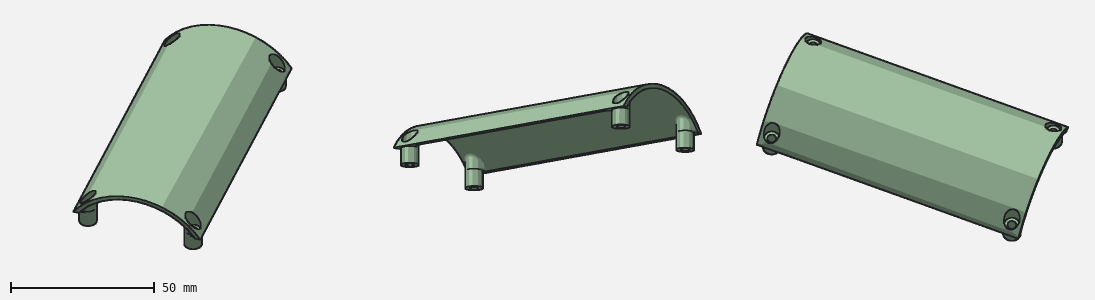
import cadquery as cq

length = 98.15
width = 46.8
rise = 12.5
thickness = 1.6

post_diameter = 6.3
post_drop = 6.0
post_x = 19.3
post_y = 45.05
joint_fillet = 1.5

screw_diameter = 3.0
head_diameter = 5.5
head_seat_z = 0.3

overrun = 9.8

outer_radius = ((width / 2) ** 2 + rise**2) / (2 * rise)
inner_radius = outer_radius - thickness
axis_z = rise - outer_radius


def arch_cylinder(radius):
    """Cylinder about the arch axis, running from mid-length past the +Y end."""
    cylinder = cq.Workplane("XZ").center(0, axis_z).circle(radius)
    return cylinder.extrude(-(length / 2 + overrun))


def corner_cylinder(diameter, bottom_z):
    """Vertical cylinder on the +X +Y post axis, up to the crown height."""
    cylinder = cq.Workplane("XY", origin=(post_x, post_y, bottom_z)).circle(diameter / 2)
    return cylinder.extrude(rise - bottom_z)


def quarter_block(end_y, bottom_z):
    """Block over the +X +Y quarter, clear of the arch in X and Z."""
    block = cq.Workplane("XY", origin=(0, 0, bottom_z))
    return block.box(width, end_y, 2 * rise - bottom_z, centered=False)


def blended_quarter():
    """Quarter of the arch with its post, filleted where the post meets the underside."""
    outer_cylinder = arch_cylinder(outer_radius)
    tube = outer_cylinder.cut(arch_cylinder(inner_radius))
    arch = tube.intersect(quarter_block(length / 2 + overrun, -2 * outer_radius))
    post = corner_cylinder(post_diameter, -post_drop).intersect(outer_cylinder)

    joint_region = cq.selectors.BoxSelector(
        (post_x - post_diameter, post_y - post_diameter, -post_drop),
        (inner_radius, post_y + post_diameter, rise / 2),
    )
    joint = arch.union(post).edges(joint_region).edges("%BSPLINE")
    return joint.fillet(joint_fillet).intersect(quarter_block(length / 2, 0))


lower_post = (
    cq.Workplane("XY", origin=(post_x, post_y, -post_drop))
    .circle(post_diameter / 2)
    .extrude(post_drop)
)
quarter = blended_quarter().union(lower_post)

quarter = quarter.cut(corner_cylinder(screw_diameter, -post_drop))
quarter = quarter.cut(corner_cylinder(head_diameter, head_seat_z))

half = quarter.union(quarter.mirror("XZ"))
result = half.union(half.mirror("YZ")).clean()